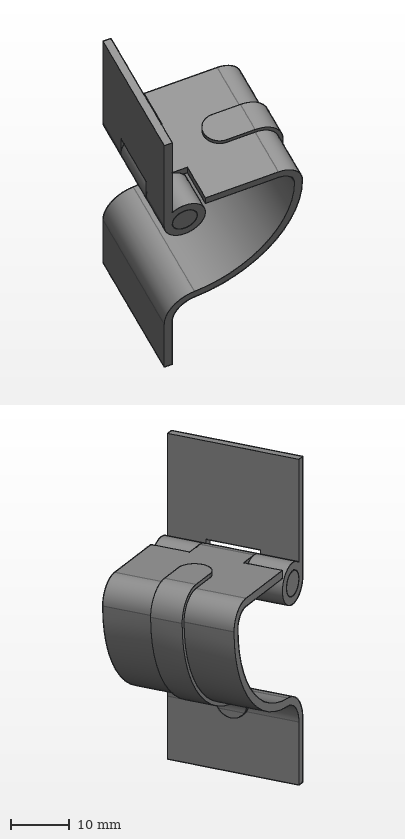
import cadquery as cq
import math

width = 25.0
height = 60.0
thickness = 1.5

knuckle_radius = 3.85
bore_radius = knuckle_radius - thickness
pin_clearance = 0.05
pin_radius = bore_radius - pin_clearance
middle_knuckle_width = 10.3
clip_top = 41.9
hinge_y = knuckle_radius
hinge_z = clip_top - knuckle_radius

clip_back = 25.8
corner_radius = 4.5
sweep_radius = 21.3
foot_radius = 4.5
corner_y = clip_back - corner_radius
corner_z = clip_top - corner_radius
sweep_y = clip_back - sweep_radius
sweep_z = corner_z
foot_y = thickness + foot_radius
center_distance = sweep_radius + foot_radius
foot_z = sweep_z - math.sqrt(center_distance ** 2 - (foot_y - sweep_y) ** 2)
tangent_angle = math.atan2(foot_z - sweep_z, foot_y - sweep_y)

rib_width = 6.0
rib_height = 0.7
rib_end_radius = rib_width / 2
rib_front = 13.0
rib_bottom = 10.25


def polar(center_y, center_z, radius, angle):
    """Point in the YZ plane at a radius and angle from a center."""
    return (center_y + radius * math.cos(angle), center_z + radius * math.sin(angle))


def bent_sheet(inner, outer, front_end, lower_end, sheet_width):
    """Sheet between two offsets from the clip's rear face, centered on X = 0."""

    def corner(offset, angle):
        return polar(corner_y, corner_z, corner_radius + offset, angle)

    def sweep(offset, angle):
        return polar(sweep_y, sweep_z, sweep_radius + offset, angle)

    def foot(offset, angle):
        return polar(foot_y, foot_z, foot_radius - offset, angle)

    quarter = math.pi / 2
    foot_start = tangent_angle + math.pi
    foot_middle = (foot_start + math.pi) / 2
    return (
        cq.Workplane("YZ", origin=(-sheet_width / 2, 0, 0))
        .moveTo(front_end, clip_top + outer)
        .lineTo(*corner(outer, quarter))
        .threePointArc(corner(outer, quarter / 2), corner(outer, 0))
        .threePointArc(sweep(outer, tangent_angle / 2), sweep(outer, tangent_angle))
        .threePointArc(foot(outer, foot_middle), foot(outer, math.pi))
        .lineTo(thickness + outer, lower_end)
        .lineTo(thickness + inner, lower_end)
        .lineTo(*foot(inner, math.pi))
        .threePointArc(foot(inner, foot_middle), foot(inner, foot_start))
        .threePointArc(sweep(inner, tangent_angle / 2), sweep(inner, 0))
        .threePointArc(corner(inner, quarter / 2), corner(inner, quarter))
        .lineTo(front_end, clip_top + inner)
        .close()
        .extrude(sheet_width)
    )


def hinge_cylinder(radius, length):
    """Cylinder on the hinge axis, centered on X = 0."""
    return (
        cq.Workplane("YZ", origin=(-length / 2, 0, 0))
        .center(hinge_y, hinge_z)
        .circle(radius)
        .extrude(length)
    )


def block(x_size, y_min, y_max, z_min, z_max):
    """Box centered on X = 0 with the given Y and Z limits."""
    return (
        cq.Workplane("XY", origin=(0, (y_min + y_max) / 2, z_min))
        .rect(x_size, y_max - y_min)
        .extrude(z_max - z_min)
    )


def make_rib():
    """Rib following the bends, with a half-round end on the top and on the foot."""
    rib = bent_sheet(0, rib_height, rib_front, rib_bottom, rib_width)

    top_round_y = rib_front + rib_end_radius
    top_tip = block(rib_width, rib_front, top_round_y, clip_top, clip_top + rib_height)
    top_round = (
        cq.Workplane("XY", origin=(0, top_round_y, clip_top))
        .circle(rib_end_radius)
        .extrude(rib_height)
    )

    foot_round_z = rib_bottom + rib_end_radius
    foot_tip = block(rib_width, 0, foot_y, rib_bottom, foot_round_z)
    foot_round = (
        cq.Workplane("XZ", origin=(0, 0, foot_round_z))
        .circle(rib_end_radius)
        .extrude(-foot_y)
    )
    return rib.cut(top_tip.cut(top_round)).cut(foot_tip.cut(foot_round))


def make_clip():
    """Bent clip with the rib on its back and the middle hinge knuckle."""
    knuckle_back = hinge_y + knuckle_radius
    sheet = bent_sheet(-thickness, 0, knuckle_back, 0, width)
    tongue = block(middle_knuckle_width, hinge_y, knuckle_back, clip_top - thickness, clip_top)
    knuckle = hinge_cylinder(knuckle_radius, middle_knuckle_width)
    bore = hinge_cylinder(bore_radius, middle_knuckle_width)
    return sheet.union(tongue).union(knuckle).cut(bore).union(make_rib())


def make_leaf():
    """Upright leaf with a knuckle at each side of the middle notch."""
    plate = block(width, 0, thickness, hinge_z, height)
    knuckles = hinge_cylinder(knuckle_radius, width)
    bore = hinge_cylinder(bore_radius, width)
    notch = block(
        middle_knuckle_width,
        hinge_y - knuckle_radius,
        hinge_y + knuckle_radius,
        hinge_z - knuckle_radius,
        hinge_z + knuckle_radius,
    )
    return plate.union(knuckles).cut(bore).cut(notch)


clip = make_clip()
leaf = make_leaf()
pin = hinge_cylinder(pin_radius, width)

result = cq.Compound.makeCompound([clip.solids().val(), leaf.solids().val(), pin.val()])